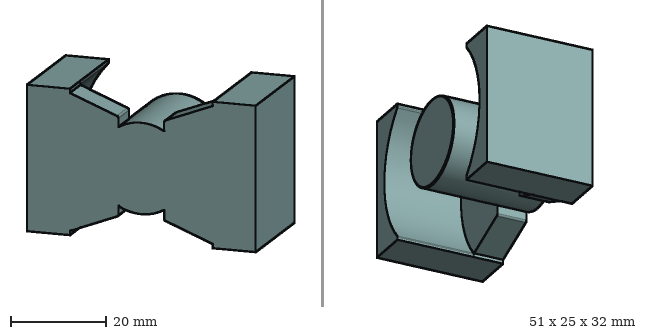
import cadquery as cq
import math

length = 51.0
depth = 25.0
height = 32.0
plate_thickness = 6.9
leg_width = 9.6
leg_step = 0.9
leg_edge_radius = 0.5
window_diameter = 44.0
post_diameter = 20.0
post_chamfer = 0.2
waist_half_width = 5.1
waist_half_height = 10.85
waist_edge_radius = 0.5

half_length = length / 2
half_height = height / 2
leg_inner_x = half_length - leg_width
window_radius = window_diameter / 2
window_corner_z = math.sqrt(window_radius**2 - leg_inner_x**2)


def make_plate_half():
    """+X half of the plate, tapering from the leg down to the waist."""
    upper = [
        (waist_half_width, waist_half_height),
        (leg_inner_x, half_height - leg_step),
        (leg_inner_x, half_height),
        (half_length, half_height),
    ]
    lower = [(x, -z) for x, z in reversed(upper)]
    plate = cq.Workplane("XZ").polyline(upper + lower).close().extrude(-plate_thickness)
    return plate.edges("|Y").edges("<X").fillet(waist_edge_radius)


def make_leg():
    """+X leg, hollowed by the round winding window and blunted at its tips."""
    leg = (
        cq.Workplane("XZ", origin=(0, plate_thickness, 0))
        .moveTo(leg_inner_x, half_height)
        .lineTo(half_length, half_height)
        .lineTo(half_length, -half_height)
        .lineTo(leg_inner_x, -half_height)
        .lineTo(leg_inner_x, -window_corner_z)
        .threePointArc((window_radius, 0), (leg_inner_x, window_corner_z))
        .close()
        .extrude(plate_thickness - depth)
    )
    middle_y = (plate_thickness + depth) / 2
    for corner_z in (window_corner_z, -window_corner_z):
        tip = cq.selectors.NearestToPointSelector((leg_inner_x, middle_y, corner_z))
        leg = leg.edges(tip).fillet(leg_edge_radius)
    return leg


def make_post():
    """Centre post, running through the plate to the open end of the core."""
    post = cq.Workplane("XZ").circle(post_diameter / 2).extrude(-depth)
    return post.faces(">Y").edges().chamfer(post_chamfer)


core_side = make_plate_half().union(make_leg())
result = make_post().union(core_side).union(core_side.mirror("YZ"))